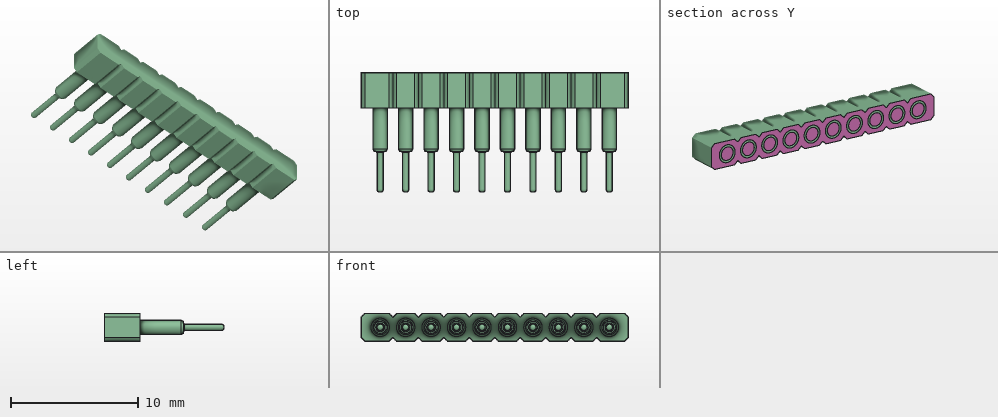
import cadquery as cq

PIN_COUNT = 10
PITCH = 2.0
END_MARGIN = 1.5
HOUSING_HEIGHT = 2.2
HOUSING_DEPTH = 2.8
CORNER_CHAMFER = 0.3

RECESS_DIAMETER = 1.45
RECESS_DEPTH = 0.25

TOTAL_DEPTH = 9.4
SLEEVE_DIAMETER = 1.15
SLEEVE_LENGTH = 3.4
SLEEVE_CHAMFER_LENGTH = 0.2
SLEEVE_CHAMFER = 0.1
SHOULDER_DIAMETER = 0.7
SHOULDER_LENGTH = 0.1
TAIL_DIAMETER = 0.5
TIP_FILLET = 0.2

HOUSING_LENGTH = (PIN_COUNT - 1) * PITCH + 2 * END_MARGIN
PIN_PROTRUSION = TOTAL_DEPTH - HOUSING_DEPTH
PIN_POSITIONS = [(i - (PIN_COUNT - 1) / 2) * PITCH for i in range(PIN_COUNT)]


def make_housing():
    """Bar with chamfered long edges and V-notches between neighbouring cells."""
    bar = cq.Workplane("XY").box(HOUSING_LENGTH, HOUSING_DEPTH, HOUSING_HEIGHT)
    bar = bar.translate((0, HOUSING_DEPTH / 2, 0))
    bar = bar.edges("|Y").chamfer(CORNER_CHAMFER)
    for left, right in zip(PIN_POSITIONS, PIN_POSITIONS[1:]):
        middle = (left + right) / 2
        for side in (1, -1):
            surface = side * HOUSING_HEIGHT / 2
            notch = (
                cq.Workplane("XZ")
                .polyline([
                    (middle - CORNER_CHAMFER, surface),
                    (middle, surface - side * CORNER_CHAMFER),
                    (middle + CORNER_CHAMFER, surface),
                ])
                .close()
                .extrude(-HOUSING_DEPTH)
            )
            bar = bar.cut(notch)
    return bar


def make_recess():
    """Blind round recess about the Y axis, open at the housing front face (Y = 0)."""
    return cq.Workplane("XZ").circle(RECESS_DIAMETER / 2).extrude(-RECESS_DEPTH)


def make_pin():
    """Turned pin about the Y axis, from the recess floor to the rounded tip at -Y."""
    sleeve_radius = SLEEVE_DIAMETER / 2
    shoulder_radius = SHOULDER_DIAMETER / 2
    tail_radius = TAIL_DIAMETER / 2
    return (
        cq.Workplane("XY")
        .moveTo(0, RECESS_DEPTH)
        .lineTo(sleeve_radius, RECESS_DEPTH)
        .lineTo(sleeve_radius, -(SLEEVE_LENGTH - SLEEVE_CHAMFER_LENGTH))
        .lineTo(sleeve_radius - SLEEVE_CHAMFER, -SLEEVE_LENGTH)
        .lineTo(shoulder_radius, -SLEEVE_LENGTH)
        .lineTo(tail_radius, -(SLEEVE_LENGTH + SHOULDER_LENGTH))
        .lineTo(tail_radius, -(PIN_PROTRUSION - TIP_FILLET))
        .radiusArc((tail_radius - TIP_FILLET, -PIN_PROTRUSION), TIP_FILLET)
        .lineTo(0, -PIN_PROTRUSION)
        .close()
        .revolve(360, (0, 0, 0), (0, 1, 0))
    )


recess = make_recess()
pin = make_pin()
result = make_housing()
for x in PIN_POSITIONS:
    result = result.cut(recess.translate((x, 0, 0)))
    result = result.union(pin.translate((x, 0, 0)))